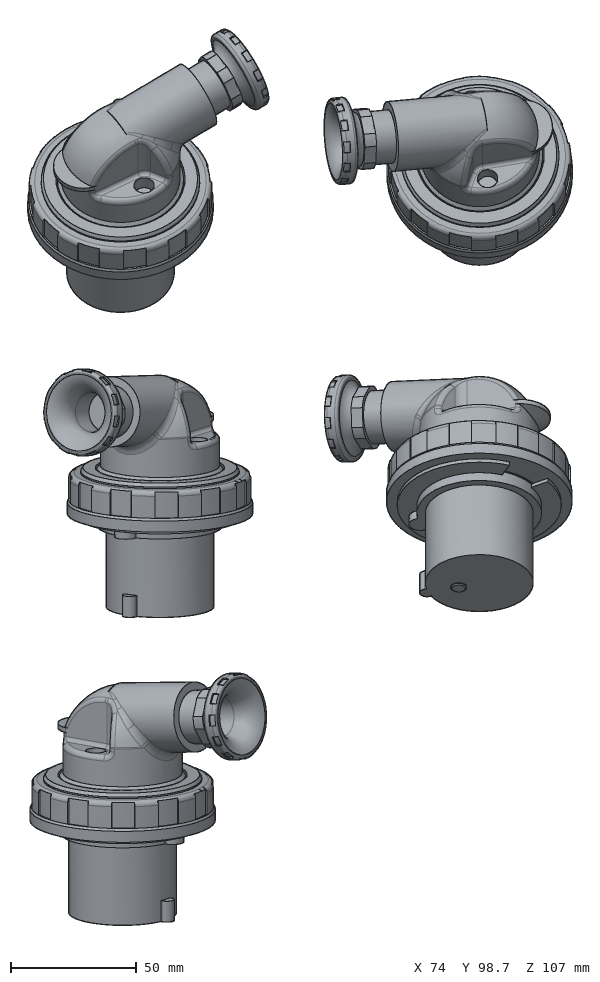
import cadquery as cq
import math

tube_bottom = 0.0
collar_bottom = 32.7
lip_bottom = 36.4
ring_bottom = 38.0
skirt_top = 42.5
grip_bottom = 43.5
grip_top = 54.6
ring_top = 56.6
shoulder_top = 57.5
pocket_floor = 70.0
dome_base = 73.3
dome_apex = 93.6

contact_tolerance = 0.001

tube_radius = 21.5
collar_radius = 24.85
collar_lug_reach = 29.4
collar_lug_width = 9.0
tube_key_reach = 25.0
tube_key_width = 6.0
tube_key_height = 8.6
pin_offset = 8.7
pin_radius = 3.2
pin_tip_height = 0.8
pin_tip_chamfer = 0.5

lip_radius = 32.7
skirt_radius = 37.0
grip_radius = 36.4
grip_recess_depth = 0.7
grip_edge_fillet = 2.2
crown_radius = 30.7
crown_base_radius = 31.6
crown_chamfer_bottom = 55.2
ring_bore_radius = 25.7
lip_notch_start = -139.0
lip_notch_end = -104.0

recess_count = 12
recess_pitch = 360.0 / recess_count
recess_angle = 14.6

body_radius = 23.8
shaft_radius = 25.1
dome_arc_radius = 27.2
dome_base_fillet = 2.0
pocket_wall_x = 11.7
pocket_corner_y = 3.9
pocket_rear_angle = 30.0
pocket_corner_fillet = 5.0
pocket_fillet = 1.7
pocket_edge_fillet = 2.2
screw_hole_x = 17.8
screw_hole_radius = 4.0
screw_hole_depth = 6.0
fin_center_y = -17.4
fin_radius = 11.9
fin_bottom = 73.2
fin_top = 75.2
fin_gusset_bottom = 70.6
neck_blend = 4.0

outlet_tilt = 9.0
outlet_end_y = 36.22
outlet_end_z = 85.65
outlet_radius = 14.0
outlet_length = 36.6
gland_neck_radius = 10.7
hex_start = 8.6
hex_end = 13.4
hex_apothem = 11.88
hex_corner_radius = 12.5
rim_back = 17.2
rim_front = 23.27
rim_radius = 17.35
rim_back_radius = 15.2
rim_front_fillet = 1.5
rim_back_fillet = 1.2
flare_arc_radius = 7.0
rim_recess_start = 20.4
rim_first_recess = -103.0
rim_recess_depth = 0.6
mouth_radius = 15.3
mouth_bore_radius = 8.0
mouth_flare_depth = 10.0
bore_depth = 20.0

tilt_cos = math.cos(math.radians(outlet_tilt))
tilt_sin = math.sin(math.radians(outlet_tilt))
outlet_end = (0, outlet_end_y, outlet_end_z)
across_outlet = cq.Plane(origin=outlet_end, xDir=(1, 0, 0), normal=(0, tilt_cos, tilt_sin))
along_outlet = cq.Plane(origin=outlet_end, xDir=(1, 0, 0), normal=(0, -tilt_sin, tilt_cos))


def disc(radius, bottom, top):
    return cq.Workplane("XY").workplane(offset=bottom).circle(radius).extrude(top - bottom)


def annular_sector(plane, inner_radius, outer_radius, start_angle, end_angle, start, end):
    """Ring segment between two angles, extruded from start to end along the plane normal."""
    def at(radius, angle):
        turn = math.radians(angle)
        return (radius * math.cos(turn), radius * math.sin(turn))

    middle = (start_angle + end_angle) / 2
    return (
        cq.Workplane(plane)
        .workplane(offset=start)
        .moveTo(*at(inner_radius, start_angle))
        .lineTo(*at(outer_radius, start_angle))
        .threePointArc(at(outer_radius, middle), at(outer_radius, end_angle))
        .lineTo(*at(inner_radius, end_angle))
        .threePointArc(at(inner_radius, middle), at(inner_radius, start_angle))
        .close()
        .extrude(end - start)
    )


def cut_grip_recesses(body, plane, radius, depth, first_angle, start, end):
    """Shallow recesses spaced evenly round a rim of the given radius."""
    for index in range(recess_count):
        angle = first_angle + index * recess_pitch
        body = body.cut(
            annular_sector(plane, radius - depth, radius + 1, angle, angle + recess_angle, start, end)
        )
    return body


def round_key(reach, width, bottom, top):
    """Key on the +Y side with a half-round outer end."""
    round_center = reach - width / 2
    bar = cq.Workplane("XY").workplane(offset=bottom).rect(width, 2 * round_center).extrude(top - bottom)
    bar = bar.intersect(cq.Workplane("XY").box(width, round_center, 2 * top, centered=(True, False, True)))
    return bar.union(disc(width / 2, bottom, top).translate((0, round_center, 0)))


def make_insert():
    insert = disc(tube_radius, tube_bottom, collar_bottom).union(disc(collar_radius, collar_bottom, ring_bottom))
    insert = insert.union(round_key(collar_lug_reach, collar_lug_width, collar_bottom, lip_bottom))
    insert = insert.union(round_key(tube_key_reach, tube_key_width, tube_bottom, tube_bottom + tube_key_height))
    pin_tip = disc(pin_radius, tube_bottom - pin_tip_height, tube_bottom).faces("<Z").chamfer(pin_tip_chamfer)
    return insert.union(pin_tip.translate((0, pin_offset, 0)))


def make_ring():
    grip = disc(grip_radius, skirt_top, grip_top).faces(">Z").edges().fillet(grip_edge_fillet)
    grip = cut_grip_recesses(grip, "XY", grip_radius, grip_recess_depth, -90, grip_bottom, grip_top)
    skirt = (
        cq.Workplane("XZ")
        .moveTo(0, ring_bottom)
        .lineTo(skirt_radius, ring_bottom)
        .lineTo(skirt_radius, skirt_top)
        .lineTo(grip_radius, grip_bottom)
        .lineTo(0, grip_bottom)
        .close()
        .revolve(360, (0, 0), (0, 1))
    )
    crown = (
        cq.Workplane("XZ")
        .moveTo(0, grip_bottom)
        .lineTo(crown_base_radius, grip_bottom)
        .lineTo(crown_base_radius, crown_chamfer_bottom)
        .lineTo(crown_radius, ring_top)
        .lineTo(0, ring_top)
        .close()
        .revolve(360, (0, 0), (0, 1))
    )
    lip = disc(lip_radius, lip_bottom, ring_bottom).cut(
        annular_sector("XY", collar_radius, lip_radius + 1, lip_notch_start, lip_notch_end, lip_bottom, ring_bottom)
    )
    ring = skirt.union(grip).union(crown).union(lip)
    return ring.cut(disc(collar_radius, lip_bottom, ring_bottom)).cut(disc(ring_bore_radius, ring_bottom, ring_top))


def make_dome_body():
    """Round base with a shoulder, closed by a slightly pointed dome."""
    return (
        cq.Workplane("XZ")
        .moveTo(0, ring_bottom)
        .lineTo(shaft_radius, ring_bottom)
        .lineTo(shaft_radius, shoulder_top - (shaft_radius - body_radius))
        .lineTo(body_radius, shoulder_top)
        .lineTo(body_radius, dome_base)
        .radiusArc((0, dome_apex), -dome_arc_radius)
        .close()
        .revolve(360, (0, 0), (0, 1))
        .edges(cq.selectors.NearestToPointSelector((0, 0, dome_base)))
        .fillet(dome_base_fillet)
    )


def make_outlet():
    return cq.Workplane(across_outlet).circle(outlet_radius).extrude(-outlet_length)


def make_fin():
    """Thumb plate: part of a disc with a conical gusset below."""
    gusset_radius = fin_center_y + body_radius
    return (
        cq.Workplane("XZ")
        .moveTo(0, fin_gusset_bottom)
        .lineTo(gusset_radius, fin_gusset_bottom)
        .lineTo(fin_radius, fin_bottom)
        .lineTo(fin_radius, fin_top)
        .lineTo(0, fin_top)
        .close()
        .revolve(360, (0, 0), (0, 1))
        .translate((0, fin_center_y, 0))
    )


def make_pocket():
    """Side pocket on +X: a wall along Y, an angled rear wall and a flat floor."""
    reach = 2 * body_radius
    rear_y = pocket_corner_y + (reach - pocket_wall_x) * math.tan(math.radians(pocket_rear_angle))
    return (
        cq.Workplane("XY")
        .workplane(offset=pocket_floor)
        .moveTo(pocket_wall_x, -reach)
        .lineTo(reach, -reach)
        .lineTo(reach, rear_y)
        .lineTo(pocket_wall_x, pocket_corner_y)
        .close()
        .extrude(reach)
        .edges(cq.selectors.NearestToPointSelector((pocket_wall_x, pocket_corner_y, pocket_floor + reach / 2)))
        .fillet(pocket_corner_fillet)
        .faces("<Z")
        .edges()
        .fillet(pocket_fillet)
    )


def make_gland():
    """Neck, rounded hexagon and flared cable mouth on the outlet axis."""
    flare = (
        cq.Workplane(along_outlet)
        .moveTo(0, 0)
        .lineTo(gland_neck_radius, 0)
        .lineTo(gland_neck_radius, hex_end)
        .radiusArc((rim_back_radius, rim_back), flare_arc_radius)
        .lineTo(rim_radius - rim_back_fillet, rim_back)
        .radiusArc((rim_radius, rim_back + rim_back_fillet), -rim_back_fillet)
        .lineTo(rim_radius, rim_front - rim_front_fillet)
        .radiusArc((rim_radius - rim_front_fillet, rim_front), -rim_front_fillet)
        .lineTo(0, rim_front)
        .close()
        .revolve(360, (0, 0), (0, 1))
    )
    flare = cut_grip_recesses(
        flare, across_outlet, rim_radius, rim_recess_depth, rim_first_recess, rim_recess_start, rim_front
    )
    hexagon = (
        cq.Workplane(across_outlet)
        .workplane(offset=hex_start)
        .polygon(6, 2 * hex_apothem / math.cos(math.pi / 6))
        .extrude(hex_end - hex_start)
    )
    hexagon = hexagon.intersect(cq.Workplane(across_outlet).circle(hex_corner_radius).extrude(rim_front))
    mouth = (
        cq.Workplane(along_outlet)
        .moveTo(0, rim_front)
        .lineTo(mouth_radius, rim_front)
        .radiusArc((mouth_bore_radius, rim_front - mouth_flare_depth), -mouth_flare_depth)
        .lineTo(mouth_bore_radius, rim_front - bore_depth)
        .lineTo(0, rim_front - bore_depth)
        .close()
        .revolve(360, (0, 0), (0, 1))
    )
    return flare.union(hexagon).cut(mouth)


def edges_on_both(body, first, second):
    """Edges of the body whose middles lie on the surfaces of two solids."""
    surfaces = (first.shells().val(), second.shells().val())
    shared = []
    for edge in body.edges().vals():
        middle = cq.Vertex.makeVertex(*edge.positionAt(0.5).toTuple())
        if all(surface.distance(middle) < contact_tolerance for surface in surfaces):
            shared.append(edge)
    return shared


def make_housing():
    dome = make_dome_body()
    pocket = make_pocket()
    pockets = (pocket, pocket.mirror("YZ"))
    shell = dome
    for cutter in pockets:
        shell = shell.cut(cutter)
    pocket_edges = []
    for cutter in pockets:
        pocket_edges += edges_on_both(shell, dome, cutter)
    shell = shell.newObject(pocket_edges).fillet(pocket_edge_fillet)

    outlet = make_outlet()
    trimmed_outlet = outlet
    for cutter in pockets:
        trimmed_outlet = trimmed_outlet.cut(cutter)
    housing = shell.union(trimmed_outlet)
    outlet_edges = [edge for edge in edges_on_both(housing, shell, outlet) if edge.Center().y > 0]
    housing = housing.newObject(outlet_edges).fillet(neck_blend)

    for side in (-1, 1):
        screw_hole = disc(screw_hole_radius, pocket_floor - screw_hole_depth, pocket_floor)
        housing = housing.cut(screw_hole.translate((side * screw_hole_x, 0, 0)))

    fin = make_fin()
    for cutter in pockets:
        fin = fin.cut(cutter)
    return housing.union(fin).union(make_gland())


insert = make_insert()
ring = make_ring()
housing = make_housing()

result = cq.Compound.makeCompound([insert.val(), ring.val(), housing.val()])